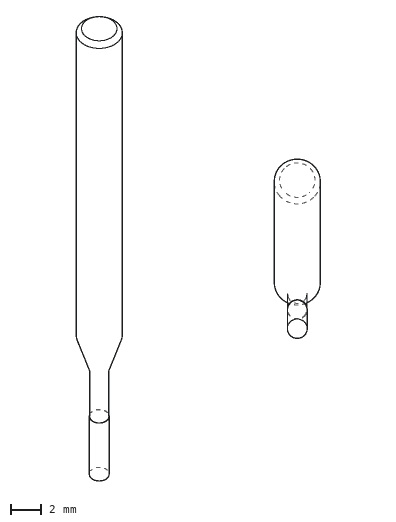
import cadquery as cq
import math

overall_length = 40.0
shank_diameter = 3.0
cutting_diameter = 1.3
neck_diameter = 1.24

cutting_length = 5.4
neck_top = 9.5
shank_bottom = 12.6

point_angle = 140.0
end_chamfer_height = 0.35
end_face_diameter = 2.3

shank_radius = shank_diameter / 2
cutting_radius = cutting_diameter / 2
neck_radius = neck_diameter / 2
end_face_radius = end_face_diameter / 2
point_height = cutting_radius / math.tan(math.radians(point_angle / 2))


def revolved(plane, profile):
    """Turn a closed (radius, height) profile about the Z axis."""
    axis_start = (0, 0)
    axis_end = (0, 1)
    return cq.Workplane(plane).polyline(profile).close().revolve(360, axis_start, axis_end)


def make_shank():
    """Chamfered shank that tapers down to the neck."""
    profile = [
        (0, cutting_length),
        (-neck_radius, cutting_length),
        (-neck_radius, neck_top),
        (-shank_radius, shank_bottom),
        (-shank_radius, overall_length - end_chamfer_height),
        (-end_face_radius, overall_length),
        (0, overall_length),
    ]
    return revolved("YZ", profile)


def make_cutting_head():
    """Cutting cylinder with a conical drill point at Z = 0."""
    profile = [
        (0, 0),
        (-cutting_radius, point_height),
        (-cutting_radius, cutting_length),
        (0, cutting_length),
    ]
    return revolved("XZ", profile)


shank = make_shank()
cutting_head = make_cutting_head()

result = cq.Compound.makeCompound([shank.val(), cutting_head.val()])